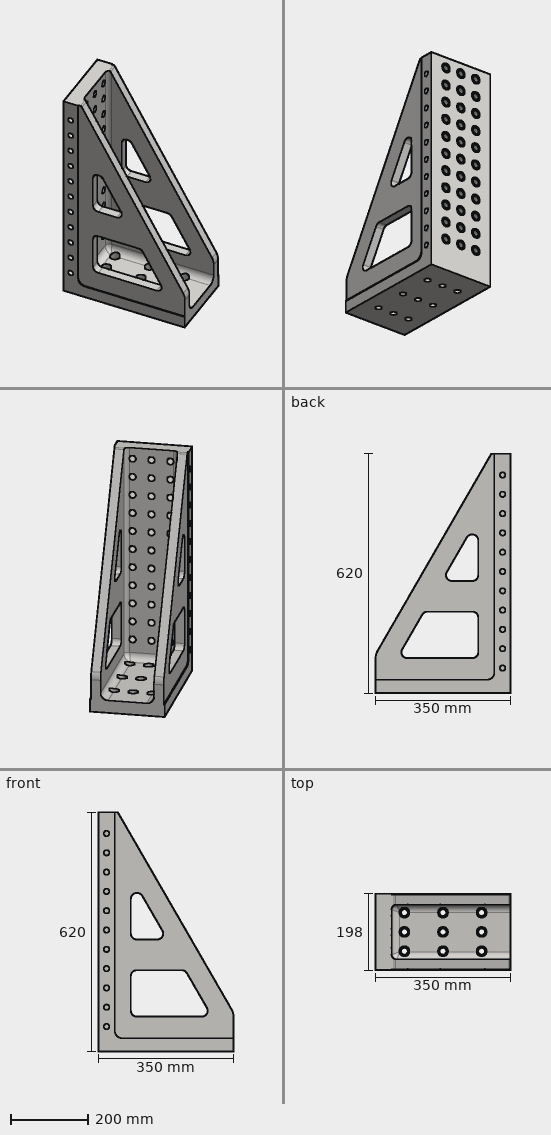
import cadquery as cq
import math

LENGTH = 350.0
WIDTH = 198.0
HEIGHT = 620.0

PLATE_THICKNESS = 42.0
BASE_THICKNESS = 35.0
POCKET_WIDTH = 141.5
FLOOR_RADIUS = 20.0
CORNER_RADIUS = 12.5

SLOPE_RUN = math.tan(math.radians(30))
RIB_TOP_X = 50.0
RIB_TOP_RADIUS = 5.0
RIB_TOE_RADIUS = 40.0
RIB_INSET = 2.5
RIB_FACE_RADIUS = 20.0

WINDOW_LEFT = 84.5
WINDOW_HEIGHT = 119.5
WINDOW_BOTTOMS = (91.0, 291.0)
WINDOW_RADIUS = 15.0
WINDOW_TO_SLOPE = 62.0

ROW_COUNT = 11
ROW_SPAN = 500.0
PITCH = ROW_SPAN / (ROW_COUNT - 1)
CROSS_OFFSETS = (-PITCH, 0, PITCH)
BOLT_DIAMETER = 17.5
SEAT_DIAMETER = 26.0
PLATE_TOP_HOLE_Z = 589.5
PLATE_SEAT_DEPTH = 0.5
BASE_COLUMN_COUNT = 3
BASE_FIRST_HOLE_X = 75.0
BASE_SEAT_DEPTH = 25.0

SIDE_HOLE_DIAMETER = 14.0
SIDE_HOLE_DEPTH = 25.0
SIDE_TOP_HOLE_Z = 565.0


def slope_x(z):
    """X of the rib hypotenuse at height z."""
    return RIB_TOP_X + (HEIGHT - z) * SLOPE_RUN


def fillet_edges_at(body, points, radius):
    """Round the edges whose middles lie nearest to the given points."""
    edges = [body.edges(cq.selectors.NearestToPointSelector(point)).val() for point in points]
    return body.newObject(edges).fillet(radius)


def block_from(x, y_low, y_high, z):
    """Block from (x, z) that reaches past the far end and the top of the part."""
    block = cq.Workplane("XY").box(LENGTH, y_high - y_low, HEIGHT, centered=False)
    return block.translate((x, y_low, z))


def make_blank():
    """Side outline of the part extruded over the full width."""
    toe_z = HEIGHT - (LENGTH - RIB_TOP_X) / SLOPE_RUN
    outline = [(0, 0), (LENGTH, 0), (LENGTH, toe_z), (RIB_TOP_X, HEIGHT), (0, HEIGHT)]
    blank = cq.Workplane("XZ").polyline(outline).close().extrude(WIDTH / 2, both=True)
    blank = fillet_edges_at(blank, [(LENGTH, 0, toe_z)], RIB_TOE_RADIUS)
    return fillet_edges_at(blank, [(RIB_TOP_X, 0, HEIGHT)], RIB_TOP_RADIUS)


def cut_pocket(body):
    """Hollow out the space between the ribs and round its inner edges."""
    half_width = POCKET_WIDTH / 2
    body = body.cut(block_from(PLATE_THICKNESS, -half_width, half_width, BASE_THICKNESS))
    floor_edges = [(PLATE_THICKNESS, 0, BASE_THICKNESS)]
    floor_edges += [(LENGTH / 2, side * half_width, BASE_THICKNESS) for side in (-1, 1)]
    corner_edges = [(PLATE_THICKNESS, side * half_width, HEIGHT / 2) for side in (-1, 1)]
    body = fillet_edges_at(body, floor_edges, FLOOR_RADIUS)
    return fillet_edges_at(body, corner_edges, CORNER_RADIUS)


def cut_rib_faces(body):
    """Set both outer rib faces slightly back from the plate and the base."""
    rib_face = WIDTH / 2 - RIB_INSET
    relief = block_from(PLATE_THICKNESS, rib_face, WIDTH, BASE_THICKNESS)
    relief = relief.edges("|Y and <X and <Z").fillet(RIB_FACE_RADIUS)
    return body.cut(relief).cut(relief.mirror("XZ"))


def make_window(bottom):
    """Opening through both ribs, with one side parallel to the hypotenuse."""
    top = bottom + WINDOW_HEIGHT
    outline = [
        (WINDOW_LEFT, bottom),
        (slope_x(bottom) - WINDOW_TO_SLOPE, bottom),
        (slope_x(top) - WINDOW_TO_SLOPE, top),
        (WINDOW_LEFT, top),
    ]
    window = cq.Workplane("XZ").polyline(outline).close().extrude(WIDTH, both=True)
    return window.edges("|Y").fillet(WINDOW_RADIUS)


def cut_plate_holes(body):
    """Grid of through holes in the upright plate, with shallow seats on its outer face."""
    points = [(y, PLATE_TOP_HOLE_Z - row * PITCH) for row in range(ROW_COUNT) for y in CROSS_OFFSETS]
    holes = cq.Workplane("YZ").pushPoints(points)
    body = body.cut(holes.circle(BOLT_DIAMETER / 2).extrude(PLATE_THICKNESS + FLOOR_RADIUS))
    return body.cut(holes.circle(SEAT_DIAMETER / 2).extrude(PLATE_SEAT_DEPTH))


def cut_base_holes(body):
    """Through holes in the base, counterbored from the pocket floor."""
    columns = [BASE_FIRST_HOLE_X + column * 2 * PITCH for column in range(BASE_COLUMN_COUNT)]
    points = [(x, y) for x in columns for y in CROSS_OFFSETS]
    holes = cq.Workplane("XY").pushPoints(points)
    body = body.cut(holes.circle(BOLT_DIAMETER / 2).extrude(BASE_THICKNESS))
    seats = holes.circle(SEAT_DIAMETER / 2).extrude(BASE_SEAT_DEPTH + FLOOR_RADIUS)
    return body.cut(seats.translate((0, 0, BASE_THICKNESS - BASE_SEAT_DEPTH)))


def cut_side_holes(body):
    """Row of blind holes along both edges of the upright plate."""
    points = [(PLATE_THICKNESS / 2, SIDE_TOP_HOLE_Z - row * PITCH) for row in range(ROW_COUNT)]
    holes = cq.Workplane("XZ", origin=(0, -WIDTH / 2, 0)).pushPoints(points)
    holes = holes.circle(SIDE_HOLE_DIAMETER / 2).extrude(-SIDE_HOLE_DEPTH)
    return body.cut(holes).cut(holes.mirror("XZ"))


body = cut_pocket(make_blank())
body = cut_rib_faces(body)
for window_bottom in WINDOW_BOTTOMS:
    body = body.cut(make_window(window_bottom))
body = cut_plate_holes(body)
body = cut_base_holes(body)
body = cut_side_holes(body)

result = body